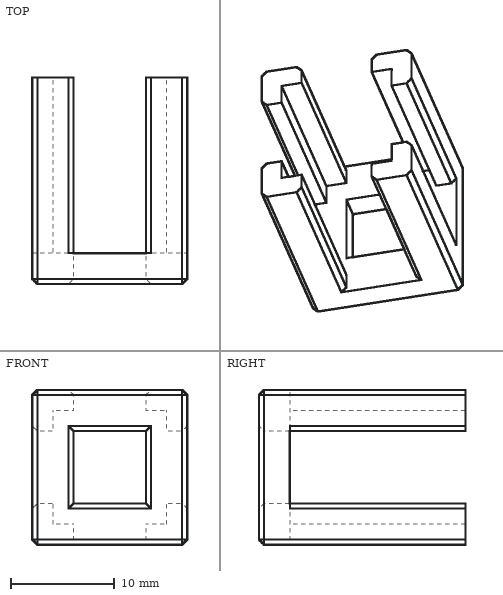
import cadquery as cq

length = 20.0
width = 15.0
opening = 7.0
end_wall = 3.0
side_wall = 2.0
chamfer = 0.5

mouth = opening + 2 * chamfer
slot_length = length - end_wall
cavity_width = width - 2 * side_wall
half_width = width / 2


def outer_block():
    """Square bar along +Y, beveled everywhere except around the open end."""
    block = cq.Workplane("XY").box(width, length, width, centered=(True, False, True))
    return block.edges("|Y or <Y").chamfer(chamfer)


def slot(axis_angle):
    """Slot through two opposite sides, flared at both mouths, turned about Y."""
    inside = half_width - chamfer
    section = [
        (-mouth / 2, -half_width),
        (mouth / 2, -half_width),
        (opening / 2, -inside),
        (opening / 2, inside),
        (mouth / 2, half_width),
        (-mouth / 2, half_width),
        (-opening / 2, inside),
        (-opening / 2, -inside),
    ]
    cutter = cq.Workplane("XZ", origin=(0, end_wall, 0)).polyline(section).close().extrude(-slot_length)
    return cutter.rotate((0, 0, 0), (0, 1, 0), axis_angle)


def cavity():
    """Square hollow behind the closed end, leaving four L-shaped legs."""
    hollow = cq.Workplane("XZ", origin=(0, end_wall, 0)).rect(cavity_width, cavity_width)
    return hollow.extrude(-slot_length)


def window():
    """Square hole through the closed end with a beveled outer rim."""
    hole = cq.Workplane("XZ").rect(opening, opening).extrude(-end_wall)
    rim = (
        cq.Workplane("XZ")
        .rect(mouth, mouth)
        .workplane(offset=-chamfer)
        .rect(opening, opening)
        .loft(ruled=True)
    )
    return hole.union(rim)


result = outer_block().cut(slot(0)).cut(slot(90)).cut(cavity()).cut(window())